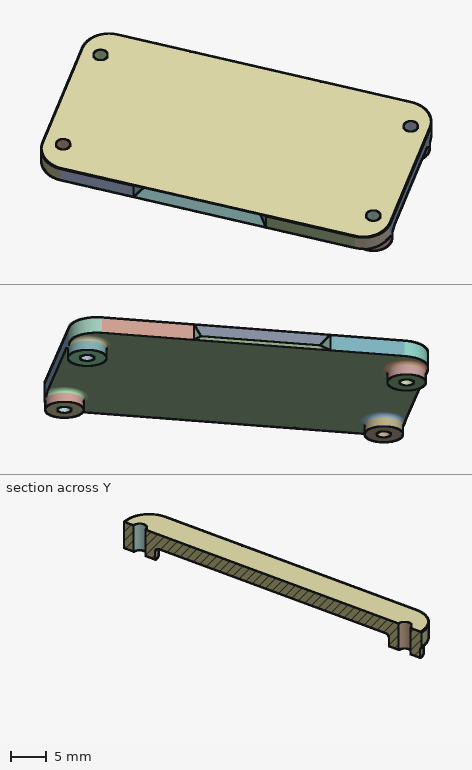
import cadquery as cq

length = 51.35
width = 26.8
total_height = 4.4
plate_thickness = 2.45
corner_radius = 4.0
top_chamfer = 0.1

foot_height = total_height - plate_thickness
foot_diameter = 5.45
foot_fillet = 0.6
hole_diameter = 2.0
hole_spacing_x = 45.7
hole_spacing_y = 17.75
hole_center_x = 0.1

groove_length = 19.5
groove_center_x = -1.25
groove_height = plate_thickness
groove_depth = groove_height / 2
groove_end_taper = groove_depth

hole_centers = [
    (hole_center_x + side_x * hole_spacing_x / 2, side_y * hole_spacing_y / 2)
    for side_x in (-1, 1)
    for side_y in (-1, 1)
]


def make_plate():
    """Rounded plate with its underside at Z = 0 and a chamfered top rim."""
    plate = cq.Workplane("XY").box(length, width, plate_thickness, centered=(True, True, False))
    return plate.edges("|Z").fillet(corner_radius).faces(">Z").chamfer(top_chamfer)


def make_foot():
    """Round foot below Z = 0, flaring out into the plate."""
    radius = foot_diameter / 2
    return (
        cq.Workplane("XZ")
        .lineTo(radius + foot_fillet, 0)
        .radiusArc((radius, -foot_fillet), -foot_fillet)
        .lineTo(radius, -foot_height)
        .lineTo(0, -foot_height)
        .close()
        .revolve(360, (0, 0, 0), (0, 1, 0))
    )


def make_groove():
    """Cutter for the -Y side: a V prism whose ends slope in to a shorter root line."""
    section = (
        cq.Workplane("YZ", origin=(groove_center_x - groove_length / 2, 0, 0))
        .moveTo(-width / 2, 0)
        .lineTo(-width / 2 + groove_depth, groove_height / 2)
        .lineTo(-width / 2, groove_height)
        .close()
        .extrude(groove_length)
    )
    root_length = groove_length - 2 * groove_end_taper
    ends = (
        cq.Workplane("XY")
        .moveTo(groove_center_x - groove_length / 2, -width / 2)
        .lineTo(groove_center_x - root_length / 2, -width / 2 + groove_depth)
        .lineTo(groove_center_x + root_length / 2, -width / 2 + groove_depth)
        .lineTo(groove_center_x + groove_length / 2, -width / 2)
        .close()
        .extrude(plate_thickness)
    )
    return section.intersect(ends)


outline = (
    cq.Workplane("XY", origin=(0, 0, -foot_height))
    .box(length, width, foot_height, centered=(True, True, False))
    .edges("|Z")
    .fillet(corner_radius)
)

result = make_plate()
for x, y in hole_centers:
    result = result.union(make_foot().translate((x, y, 0)).intersect(outline))

groove = make_groove()
result = result.cut(groove).cut(groove.mirror("XZ"))

holes = (
    cq.Workplane("XY", origin=(0, 0, -foot_height))
    .pushPoints(hole_centers)
    .circle(hole_diameter / 2)
    .extrude(total_height)
)
result = result.cut(holes)